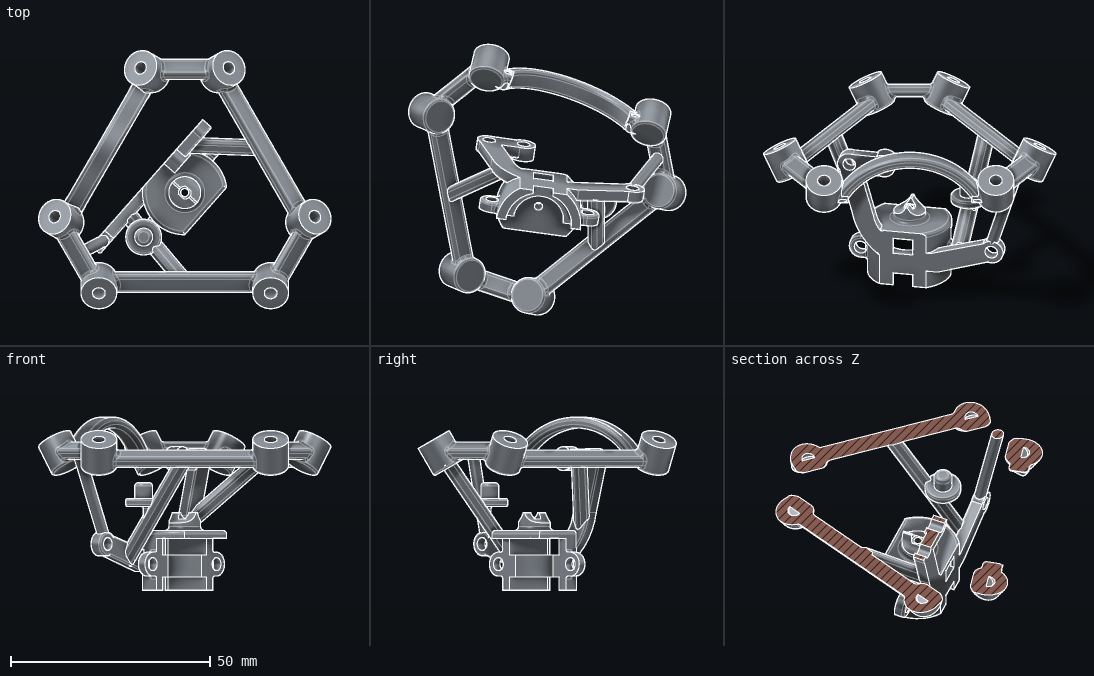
import cadquery as cq
import math


SOCKET_TILT = 30.0
SOCKET_DIAMETER = 9.0
SOCKET_HEIGHT = 8.0
SOCKET_RIM_FILLET = 0.5
SOCKET_HOLE_DIAMETER = 3.2
SOCKET_HOLE_DEPTH = 6.0
SOCKET_TOP_Z = 37.8
SOCKET_HALF_PITCH = 21.53
SOCKET_TOP_OFFSET = 25.23
PAIR_ANGLE = 120.0
BEAM_WIDTH = 5.0
BEAM_HEIGHT = 3.0
BEAM_FILLET = 0.9
LONG_BEAM_OFFSET = 22.4
LONG_BEAM_Z = 33.0
SHORT_BEAM_OFFSET = 30.9
SHORT_BEAM_Z = 35.0
SHORT_BEAM_HALF_LENGTH = 10.0
JOINT_FILLET = 0.9
TOLERANCE = 1e-3
ARCH_TOP_Z = 43.43
ARCH_OUTER_RADIUS = 21.0
ARCH_THICKNESS = 2.75
ARCH_FOOT_Z = 31.5
ARCH_STUB_START = 15.5

MOUNT_ANGLE = 48.5
BODY_RADIUS = 10.6
BODY_HEIGHT = 13.0
FLANGE_THICKNESS = 2.0
FLANGE_FILLET = 0.9
FLANGE_FRONT = 7.0
PLATE_OUTER = 8.75
PLATE_THICKNESS = 3.0
BORE_RADIUS = 8.25
BAND_RADIUS = 6.25
BAND_BOTTOM = 3.3
BAND_TOP = 8.85
WINDOW_WIDTH = 5.0

EAR_OFFSET = 12.05
EAR_Z = 6.55
EAR_RADIUS = 3.0
EAR_THICKNESS = 2.5
EAR_HOLE_DIAMETER = 3.25
EAR_FILLET = 0.5
EAR_ROOT_FILLET = 0.7

HUB_DIAMETER = 8.0
HUB_RIDGE_Z = 19.45
HUB_RIDGE_WIDTH = 0.5
HUB_EAVE_Z = 16.9
HUB_FILLET = 1.0
HUB_HOLE_DIAMETER = 2.0
HUB_RECESS_DIAMETER = 3.2
HUB_RECESS_FLOOR_Z = 17.9

EYE_RADIUS = 3.0
ARM_FILLET = 0.4
EYE_HOLE_DIAMETER = 3.2
UPPER_EYE = (13.7, 32.6)
INNER_EYE = (5.0, 33.0)
INNER_EYE_THICKNESS = 3.6
LOWER_EYE = (-22.6, 11.6)

STRUT_WIDTH = 3.6
STRUT_HEIGHT = 3.6
STRUT_FILLET = 1.0
STRUT_ROOT = 6.0
STRUT_SINK = 0.5
LOWER_STRUT_ROLL = 60.0
UPPER_STRUT_ROLL = 20.0
LOWER_STRUT_FOOT = (-13.4, -6.5, 9.7)
UPPER_STRUT_FOOT = (2.76, 11.8, 18.5)
ROUND_STRUT_DIAMETER = 3.0

PIN_CENTRE = (-10.3, -11.15)
PIN_DIAMETER = 4.5
PIN_TOP_Z = 27.0
PIN_FILLET = 0.9
PLATFORM_DIAMETER = 9.0
PLATFORM_BOTTOM_Z = 21.0
PLATFORM_TOP_Z = 23.0
PLATFORM_FILLET = 0.45
POST_CENTRE = (-8.85, -12.4)
POST_DIAMETER = 3.2
POST_BOTTOM_Z = 17.6
POST_FLARE = 0.5

FLANGE_TOP = BODY_HEIGHT + FLANGE_THICKNESS
PLATE_INNER = PLATE_OUTER - PLATE_THICKNESS


def turn(shape, angle):
    return shape.rotate((0, 0, 0), (0, 0, 1), angle)


def turn_point(point, angle):
    cosine = math.cos(math.radians(angle))
    sine = math.sin(math.radians(angle))
    x, y, z = point
    return (x * cosine - y * sine, x * sine + y * cosine, z)


def bar(start, end, width_direction, width, height, fillet):
    """Straight bar of rounded rectangular section between two points."""
    start = cq.Vector(*start)
    axis = cq.Vector(*end) - start
    plane = cq.Plane(start, cq.Vector(*width_direction), axis)
    solid = cq.Workplane(plane).rect(width, height).extrude(axis.Length)
    return solid.edges(cq.selectors.ParallelDirSelector(axis)).fillet(fillet)


def disc(centre, diameter, bottom, top):
    return (
        cq.Workplane("XY", origin=(centre[0], centre[1], bottom))
        .circle(diameter / 2)
        .extrude(top - bottom)
    )


def socket_plane(side):
    lean = math.radians(SOCKET_TILT)
    top_centre = (side * SOCKET_HALF_PITCH, -SOCKET_TOP_OFFSET, SOCKET_TOP_Z)
    return cq.Plane(top_centre, (1, 0, 0), (0, -math.sin(lean), math.cos(lean)))


def socket(side):
    return (
        cq.Workplane(socket_plane(side))
        .circle(SOCKET_DIAMETER / 2)
        .extrude(-SOCKET_HEIGHT)
        .faces("<Z")
        .edges()
        .fillet(SOCKET_RIM_FILLET)
    )


def socket_hole(side):
    return cq.Workplane(socket_plane(side)).circle(SOCKET_HOLE_DIAMETER / 2).extrude(-SOCKET_HOLE_DEPTH)


def ring_beam(offset, z, start_x, end_x):
    """Beam along X on the -Y side, leaning outward like the sockets."""
    lean = math.radians(SOCKET_TILT)
    across = (0, math.cos(lean), math.sin(lean))
    return bar((start_x, -offset, z), (end_x, -offset, z), across, BEAM_WIDTH, BEAM_HEIGHT, BEAM_FILLET)


def short_half_beam(side):
    """Half of the beam to the neighbouring pair, up to that beam's middle."""
    start_x, end_x = sorted((0, -side * SHORT_BEAM_HALF_LENGTH))
    return turn(ring_beam(SHORT_BEAM_OFFSET, SHORT_BEAM_Z, start_x, end_x), side * PAIR_ANGLE / 2)


def long_half_beam(side, inner_x):
    start_x, end_x = sorted((side * inner_x, side * SOCKET_HALF_PITCH))
    return ring_beam(LONG_BEAM_OFFSET, LONG_BEAM_Z, start_x, end_x)


def is_joint_edge(edge, side):
    """True for the curved edges where beams run into the side of a socket."""
    plane = socket_plane(side)
    if edge.geomType() in ("LINE", "CIRCLE"):
        return False
    for position in (0, 0.3, 0.7, 1):
        point = plane.toLocalCoords(edge.positionAt(position))
        if abs(math.hypot(point.x, point.y) - SOCKET_DIAMETER / 2) > TOLERANCE:
            return False
    return True


def socket_with_beams(side, inner_x):
    solid = socket(side).union(long_half_beam(side, inner_x)).union(short_half_beam(side))
    joints = solid.edges().filter(lambda edge: is_joint_edge(edge, side))
    return joints.fillet(JOINT_FILLET)


def arch():
    """Curved part of the beam that bows upward in a vertical plane, on the -Y side."""
    hoop = (
        cq.Workplane("XZ", origin=(0, -LONG_BEAM_OFFSET + BEAM_WIDTH / 2, ARCH_TOP_Z - ARCH_OUTER_RADIUS))
        .circle(ARCH_OUTER_RADIUS)
        .circle(ARCH_OUTER_RADIUS - ARCH_THICKNESS)
        .extrude(BEAM_WIDTH)
        .edges()
        .fillet(BEAM_FILLET)
    )
    span = (
        cq.Workplane("XY", origin=(0, -LONG_BEAM_OFFSET, ARCH_FOOT_Z))
        .rect(2 * SOCKET_HALF_PITCH - SOCKET_DIAMETER / 2, 2 * BEAM_WIDTH)
        .extrude(ARCH_OUTER_RADIUS)
    )
    return hoop.intersect(span)


def socket_pair(is_arched):
    inner_x = ARCH_STUB_START if is_arched else 0
    pair = socket_with_beams(-1, inner_x).union(socket_with_beams(1, inner_x))
    return pair.union(arch()) if is_arched else pair


def ring():
    body = socket_pair(is_arched=False)
    body = body.union(turn(socket_pair(is_arched=False), PAIR_ANGLE))
    return body.union(turn(socket_pair(is_arched=True), -PAIR_ANGLE))


def socket_holes():
    holes = cq.Workplane("XY")
    for pair in range(3):
        for side in (-1, 1):
            holes.add(turn(socket_hole(side), pair * PAIR_ANGLE).vals())
    return holes


def clamp_body():
    """Half barrel behind the motor, flattened by the side plate."""
    half = (
        cq.Workplane("XY")
        .rect(2 * BODY_RADIUS, PLATE_OUTER)
        .extrude(FLANGE_TOP)
        .translate((0, PLATE_OUTER / 2, 0))
    )
    return disc((0, 0), 2 * BODY_RADIUS, 0, FLANGE_TOP).intersect(half)


def flange():
    depth = PLATE_OUTER + FLANGE_FRONT
    slab = (
        cq.Workplane("XY", origin=(0, PLATE_OUTER - depth / 2, BODY_HEIGHT))
        .rect(2 * BODY_RADIUS, depth)
        .extrude(FLANGE_THICKNESS)
    )
    return disc((0, 0), 2 * BODY_RADIUS, BODY_HEIGHT, FLANGE_TOP).intersect(slab)


def barrel():
    """Clamp body and flange, with the rim of the flange rounded away from the plate."""
    solid = clamp_body().union(flange(), clean=True)
    rim = solid.faces(">Z").edges(cq.selectors.BoxSelector(
        (-2 * BODY_RADIUS, -2 * BODY_RADIUS, 0), (2 * BODY_RADIUS, PLATE_INNER, 2 * FLANGE_TOP)))
    return rim.fillet(FLANGE_FILLET)


def bore():
    wide = disc((0, 0), 2 * BORE_RADIUS, 0, BODY_HEIGHT)
    return wide.cut(disc((0, 0), 2 * BORE_RADIUS, BAND_BOTTOM, BAND_TOP)).union(
        disc((0, 0), 2 * BAND_RADIUS, 0, BODY_HEIGHT)
    )


def windows():
    cutters = cq.Workplane("XY")
    for bottom, top in ((0, BAND_BOTTOM), (BAND_TOP, BODY_HEIGHT)):
        cutters.add(
            cq.Workplane("XY", origin=(0, PLATE_OUTER, bottom))
            .rect(WINDOW_WIDTH, 2 * PLATE_OUTER)
            .extrude(top - bottom)
            .vals()
        )
    return cutters


def ears():
    """Pair of screw ears along the open front of the clamp."""
    return (
        cq.Workplane("XZ", origin=(0, EAR_THICKNESS, EAR_Z))
        .slot2D(2 * (EAR_OFFSET + EAR_RADIUS), 2 * EAR_RADIUS)
        .extrude(EAR_THICKNESS)
        .faces(">Y")
        .edges()
        .fillet(EAR_FILLET)
    )


def fillet_ear_roots(solid):
    """Round the corners where the ears leave the barrel."""
    for side in (-1, 1):
        root = (side * BODY_RADIUS, EAR_THICKNESS, EAR_Z)
        edge = solid.edges("|Z").edges(cq.selectors.NearestToPointSelector(root))
        solid = edge.fillet(EAR_ROOT_FILLET)
    return solid


def ear_holes():
    return (
        cq.Workplane("XZ", origin=(0, EAR_THICKNESS, EAR_Z))
        .pushPoints([(-EAR_OFFSET, 0), (EAR_OFFSET, 0)])
        .circle(EAR_HOLE_DIAMETER / 2)
        .extrude(EAR_THICKNESS)
    )


def hub():
    """Round hub whose top is scooped away on both sides of a ridge along Y."""
    radius = HUB_DIAMETER / 2
    half_ridge = HUB_RIDGE_WIDTH / 2
    run = radius - half_ridge
    rise = HUB_RIDGE_Z - HUB_EAVE_Z
    scoop_radius = (run**2 + rise**2) / (2 * rise)
    profile = (
        cq.Workplane("XZ", origin=(0, radius, 0))
        .moveTo(-radius, BODY_HEIGHT)
        .lineTo(radius, BODY_HEIGHT)
        .lineTo(radius, HUB_EAVE_Z)
        .radiusArc((half_ridge, HUB_RIDGE_Z), scoop_radius)
        .lineTo(-half_ridge, HUB_RIDGE_Z)
        .radiusArc((-radius, HUB_EAVE_Z), scoop_radius)
        .close()
    )
    post = disc((0, 0), HUB_DIAMETER, BODY_HEIGHT, HUB_RIDGE_Z)
    return post.intersect(profile.extrude(2 * radius))


def fillet_hub_foot(solid):
    foot_centre = (0, 0, FLANGE_TOP)
    return solid.edges(cq.selectors.NearestToPointSelector(foot_centre)).fillet(HUB_FILLET)


def hub_passage():
    return disc((0, 0), HUB_HOLE_DIAMETER, BODY_HEIGHT, HUB_RIDGE_Z).union(
        disc((0, 0), HUB_RECESS_DIAMETER, HUB_RECESS_FLOOR_Z, HUB_RIDGE_Z)
    )


def plate_sketch():
    """Sketch plane on the plate's outer face: local x is mount X, local y is Z."""
    return cq.Workplane("XZ", origin=(0, PLATE_OUTER, 0))


def eye(centre, thickness):
    return plate_sketch().center(*centre).circle(EYE_RADIUS).extrude(thickness)


def plate_arm(profile, eye_centre):
    """Arm with an eye at its end, its inner edges rounded."""
    arm = profile.close().extrude(PLATE_THICKNESS).union(eye(eye_centre, PLATE_THICKNESS))
    return arm.faces("<Y").edges().fillet(ARM_FILLET)


def upper_arm():
    profile = (
        plate_sketch()
        .moveTo(6.0, 8.0)
        .threePointArc((10.6, 13.1), (13.04, 19.5))
        .lineTo(16.6, UPPER_EYE[1])
        .lineTo(UPPER_EYE[0], 35.5)
        .lineTo(INNER_EYE[0], 35.4)
        .lineTo(INNER_EYE[0], 30.15)
        .lineTo(10.64, 30.15)
        .lineTo(7.51, 18.8)
        .threePointArc((6.9, 16.8), (5.85, 15.0))
        .lineTo(4.0, 14.0)
        .lineTo(4.0, 8.0)
    )
    return plate_arm(profile, UPPER_EYE)


def lower_arm():
    profile = (
        plate_sketch()
        .moveTo(-5.0, 9.7)
        .lineTo(-7.0, 9.7)
        .lineTo(-20.4, 13.7)
        .lineTo(*LOWER_EYE)
        .lineTo(-21.7, 8.75)
        .lineTo(-9.0, 4.7)
        .lineTo(-5.0, 4.64)
    )
    return plate_arm(profile, LOWER_EYE)


def arm_holes():
    return (
        plate_sketch()
        .pushPoints([UPPER_EYE, INNER_EYE, LOWER_EYE])
        .circle(EYE_HOLE_DIAMETER / 2)
        .extrude(INNER_EYE_THICKNESS)
    )


def motor_mount():
    solid = fillet_hub_foot(fillet_ear_roots(barrel().union(ears())).union(hub()))
    for part in (upper_arm(), lower_arm(), eye(INNER_EYE, INNER_EYE_THICKNESS)):
        solid = solid.union(part)
    for hole in (bore(), windows(), ear_holes(), arm_holes(), hub_passage()):
        solid = solid.cut(hole)
    return turn(solid, MOUNT_ANGLE)


def beam_middle(offset, z, angle):
    return turn_point((0, -offset, z), angle)


def flat_strut(foot, end, roll):
    """Strut of rounded rectangular section, rolled about its axis from the level position.

    It starts behind its foot point so that its slanted root fills out inside the plate.
    """
    end = cq.Vector(*end)
    axis = (end - cq.Vector(*foot)).normalized()
    level = cq.Vector(axis.y, -axis.x, 0).normalized()
    steep = axis.cross(level)
    across = level * math.cos(math.radians(roll)) + steep * math.sin(math.radians(roll))
    root = cq.Vector(*foot) - axis * STRUT_ROOT
    strut = bar(root.toTuple(), end.toTuple(), across.toTuple(), STRUT_WIDTH, STRUT_HEIGHT, STRUT_FILLET)
    beyond_plate = (
        cq.Workplane("XY", origin=(0, PLATE_INNER + STRUT_SINK, 0))
        .rect(4 * SOCKET_TOP_OFFSET, 4 * STRUT_ROOT)
        .extrude(ARCH_TOP_Z)
        .translate((0, 2 * STRUT_ROOT, 0))
    )
    return strut.cut(turn(beyond_plate, MOUNT_ANGLE))


def round_strut():
    """Round strut from the lower eye up to the neighbouring short beam."""
    eye_x, eye_z = LOWER_EYE
    depth = PLATE_OUTER - PLATE_THICKNESS / 2
    foot = cq.Vector(*turn_point((eye_x, depth, eye_z + EYE_RADIUS * 0.75), MOUNT_ANGLE))
    axis = cq.Vector(*beam_middle(SHORT_BEAM_OFFSET, SHORT_BEAM_Z, -PAIR_ANGLE / 2)) - foot
    return cq.Workplane(cq.Plane(foot, None, axis)).circle(ROUND_STRUT_DIAMETER / 2).extrude(axis.Length)


def pin_platform():
    platform = (
        disc(PIN_CENTRE, PLATFORM_DIAMETER, PLATFORM_BOTTOM_Z, PLATFORM_TOP_Z)
        .edges()
        .fillet(PLATFORM_FILLET)
    )
    post = disc(POST_CENTRE, POST_DIAMETER, POST_BOTTOM_Z, PLATFORM_BOTTOM_Z)
    pin = (
        disc(PIN_CENTRE, PIN_DIAMETER, PLATFORM_BOTTOM_Z, PIN_TOP_Z)
        .faces(">Z")
        .edges()
        .fillet(PIN_FILLET)
    )
    flared = (
        platform.union(post)
        .edges(cq.selectors.NearestToPointSelector((*POST_CENTRE, PLATFORM_BOTTOM_Z)))
        .fillet(POST_FLARE)
    )
    return flared.union(pin)


result = ring().union(motor_mount())
for part in (
    flat_strut(LOWER_STRUT_FOOT, beam_middle(LONG_BEAM_OFFSET, LONG_BEAM_Z, 0), LOWER_STRUT_ROLL),
    flat_strut(UPPER_STRUT_FOOT, beam_middle(LONG_BEAM_OFFSET, LONG_BEAM_Z, PAIR_ANGLE), UPPER_STRUT_ROLL),
    round_strut(),
    pin_platform(),
):
    result = result.union(part)
result = result.cut(socket_holes())